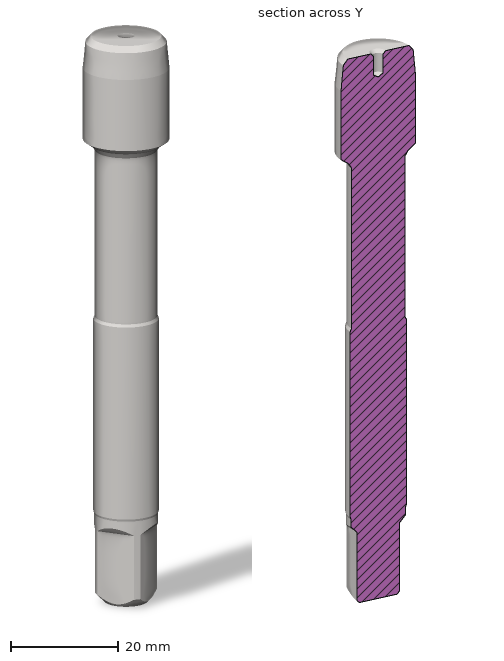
import cadquery as cq

length = 110.0

head_radius = 16.2 / 2
nose_radius = 15.2 / 2
tip_radius = 13.2 / 2
nose_bevel = 1.1
taper_length = 6.2
head_bottom = 90.0
shoulder_height = 1.1
shoulder_radius = 6.5
collar_height = 1.0

neck_radius = 11.7 / 2
shank_radius = 12.2 / 2
drive_radius = 11.9 / 2
shank_top = 55.5
shank_top_bevel = 0.5
shank_bottom = 17.6
shank_bottom_bevel = 0.4
end_bevel_height = 1.9
end_radius = 4.1

square_width = 9.2
square_height = 14.3
runout = drive_radius - square_width / 2

center_hole_radius = 2.0 / 2
center_mouth_radius = 3.2 / 2
center_hole_depth = 4.4
center_cone_depth = 0.5


def revolve_profile(points):
    """Revolve a radius/height outline around the Z axis."""
    return cq.Workplane("XZ").polyline(points).close().revolve(360, (0, 0, 0), (0, 1, 0))


def shaft():
    shoulder_bottom = head_bottom - shoulder_height
    return revolve_profile([
        (0, 0),
        (end_radius, 0),
        (drive_radius, end_bevel_height),
        (drive_radius, shank_bottom - shank_bottom_bevel),
        (shank_radius, shank_bottom),
        (shank_radius, shank_top - shank_top_bevel),
        (neck_radius, shank_top),
        (neck_radius, shoulder_bottom - collar_height),
        (shoulder_radius, shoulder_bottom),
        (head_radius, head_bottom),
        (head_radius, length - taper_length),
        (nose_radius, length - nose_bevel),
        (tip_radius, length),
        (0, length),
    ])


def flat_cutter():
    """Material removed beside one face of the square, with its sloped top."""
    face = square_width / 2
    return (
        cq.Workplane("XZ")
        .moveTo(face, 0)
        .lineTo(face, square_height)
        .lineTo(face + 2 * runout, square_height + 2 * runout)
        .lineTo(face + 2 * runout, 0)
        .close()
        .extrude(drive_radius, both=True)
    )


def center_hole():
    mouth_depth = center_mouth_radius - center_hole_radius
    hole_bottom = length - center_hole_depth
    return revolve_profile([
        (0, hole_bottom - center_cone_depth),
        (center_hole_radius, hole_bottom),
        (center_hole_radius, length - mouth_depth),
        (center_mouth_radius, length),
        (0, length),
    ])


result = shaft().cut(center_hole())
for angle in (0, 90, 180, 270):
    result = result.cut(flat_cutter().rotate((0, 0, 0), (0, 0, 1), angle))